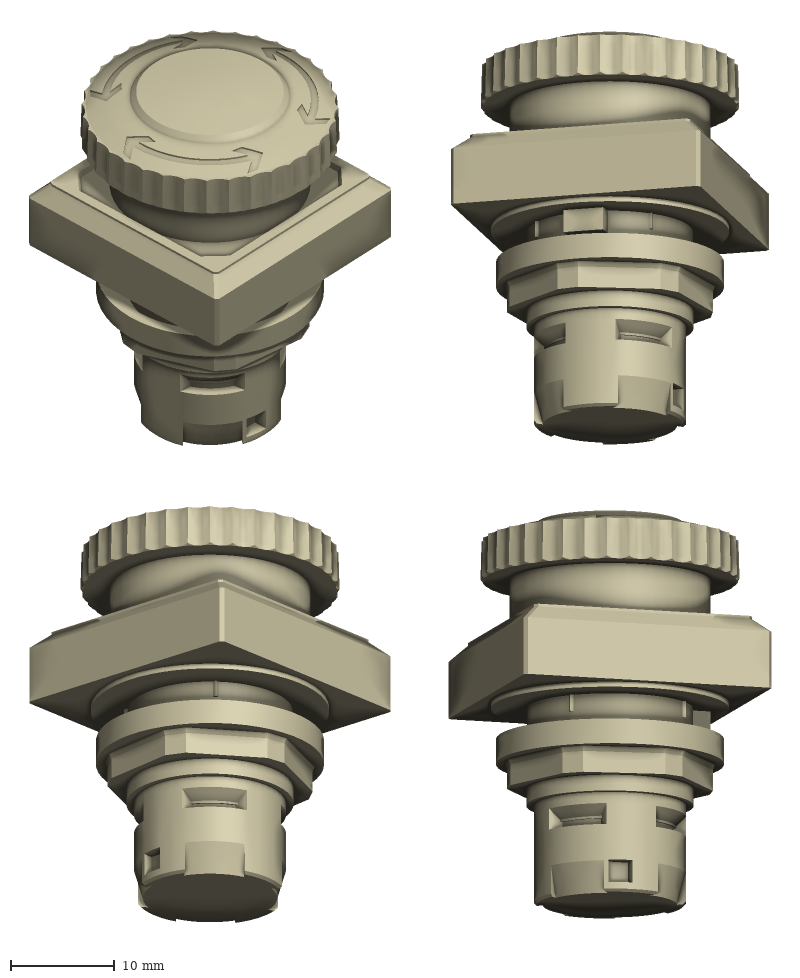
import cadquery as cq
import math

total_height = 37.88
crown_edge_z = 37.4
crown_base_z = 36.82
grip_top_z = 35.72
grip_bottom_z = 31.75
crown_edge_radius = 7.12
crown_base_radius = 15.5 / 2
shoulder_radius = 11.97
shoulder_bulge = 0.1
grip_top_radius = 12.4
grip_radius = 12.5
grip_bottom_chamfer = 0.23
flute_count = 36
flute_depth = 0.25
first_ridge_angle = 1.3

arrow_count = 3
arrow_mid_angle = 61.5
arrow_half_span = 42.2
arrow_radius = 10.0
arrow_half_width = 0.38
arrow_head_reach = 1.5
arrow_barb_length = 1.17
arrow_depth = 0.2

neck_diameter = 19.4
bezel_size = 25.0
bezel_top_size = 22.0
bezel_top_z = 27.0
bezel_lip_z = 26.75
bezel_shoulder_z = 25.35
bezel_bottom_z = 19.77
bezel_corner_chamfer = 0.35
recess_size = 20.0
recess_corner_chamfer = 2.05
recess_depth = 0.55
recess_wall_inset = 0.23

seat_diameter = 23.0
seat_bottom_z = 19.28
body_diameter = 16.0
washer_diameter = 22.0
washer_top_z = 16.25
washer_bottom_z = 13.83
washer_recess_diameter = 19.77
washer_recess_depth = 2.15
collar_diameter = 16.15
collar_bottom_z = 9.75
barrel_diameter = 14.7
barrel_bottom_chamfer = 0.25

post_reach = 5.87
post_width = 0.38
post_bottom_z = 17.7
key_reach = 9.5
key_width = 3.98
key_top_z = 19.15
key_bottom_z = 16.97

nut_corner_diameter = 19.85
nut_corner_half_angle = 6.2
nut_bottom_z = 11.3
nut_flare_z = 13.35
nut_flare = 0.2
nut_first_corner_angle = 21.4

quadrant_count = 4
window_bottom_z = 6.6
window_floor_top_z = 7.35
window_step_top_z = 7.58
window_outer_top_z = 8.65
window_floor_radius = 6.25
window_step_radius = 6.45
window_inner_width = 4.2
window_outer_width = 6.25
relief_top_z = 3.03
relief_depth = 0.87
relief_width = 5.75
socket_width = 2.3
socket_depth = 1.45
socket_bottom_z = 0.9
socket_top_z = 3.1

cut_margin = 0.75


def cylinder(diameter, bottom_z, top_z):
    return cq.Workplane("XY").workplane(offset=bottom_z).circle(diameter / 2).extrude(top_z - bottom_z)


def box(x_range, y_range, z_range):
    """Box between the given limits along each axis."""
    (x0, x1), (y0, y1), (z0, z1) = x_range, y_range, z_range
    return cq.Workplane("XY").box(x1 - x0, y1 - y0, z1 - z0, centered=False).translate((x0, y0, z0))


def revolve_z(profile):
    """Revolve an outline drawn as (radius, z) about the Z axis."""
    return profile.close().revolve(360, (0, 0, 0), (0, 1, 0))


def turned(shape, angle):
    return shape.rotate((0, 0, 0), (0, 0, 1), angle)


def chamfered_square(size, chamfer, z):
    """Square wire with its four corners cut at 45 degrees."""
    half = size / 2
    inner = half - chamfer
    points = [
        (half, -inner), (half, inner), (inner, half), (-inner, half),
        (-half, inner), (-half, -inner), (-inner, -half), (inner, -half),
    ]
    return cq.Workplane("XY").workplane(offset=z).polyline(points).close()


def loft_squares(lower, upper):
    """Solid between two chamfered squares, each given as (size, chamfer, z)."""
    wires = [chamfered_square(*square).wire().val() for square in (lower, upper)]
    return cq.Workplane(cq.Solid.makeLoft(wires, True))


def shoulder_outline(drop):
    """Cap outline up to the crown, lowered by drop, starting on the axis."""
    mid_radius = (shoulder_radius + crown_base_radius) / 2
    mid_z = (grip_top_z + crown_base_z) / 2 + shoulder_bulge
    return (
        cq.Workplane("XZ")
        .moveTo(0, grip_bottom_z)
        .lineTo(grip_radius - grip_bottom_chamfer, grip_bottom_z)
        .lineTo(grip_radius, grip_bottom_z + grip_bottom_chamfer)
        .lineTo(grip_radius, grip_top_z - drop)
        .lineTo(shoulder_radius, grip_top_z - drop)
        .threePointArc((mid_radius, mid_z - drop), (crown_base_radius, crown_base_z - drop))
    )


def make_cap():
    """Turned cap with a shallow spherical crown, trimmed to the fluted grip."""
    crown_drop = total_height - crown_edge_z
    dome_radius = (crown_edge_radius**2 + crown_drop**2) / (2 * crown_drop)
    half_radius = crown_edge_radius / 2
    dome_mid_z = total_height - dome_radius + math.sqrt(dome_radius**2 - half_radius**2)
    cap = revolve_z(
        shoulder_outline(0)
        .lineTo(crown_edge_radius, crown_edge_z)
        .threePointArc((half_radius, dome_mid_z), (0, total_height))
    )
    return cap.intersect(grip_envelope())


def scalloped_circle(ridge_radius, z):
    """Ring of concave arcs that meet in sharp ridges at ridge_radius."""
    half_pitch = math.pi / flute_count
    flute_floor = ridge_radius * math.cos(half_pitch) - flute_depth
    start = math.radians(first_ridge_angle)

    def polar(radius, step):
        angle = start + step * half_pitch
        return (radius * math.cos(angle), radius * math.sin(angle))

    outline = cq.Workplane("XY").workplane(offset=z).moveTo(*polar(ridge_radius, 0))
    for index in range(flute_count):
        outline = outline.threePointArc(
            polar(flute_floor, 2 * index + 1),
            polar(ridge_radius, 2 * index + 2),
        )
    return outline.close()


def grip_envelope():
    """Fluted, slightly tapered grip carrying a plain block for the shoulder and crown."""
    lower = scalloped_circle(grip_radius, grip_bottom_z).wire().val()
    upper = scalloped_circle(grip_top_radius, grip_top_z).wire().val()
    grip = cq.Workplane(cq.Solid.makeLoft([lower, upper], True))
    return grip.union(cylinder(2 * shoulder_radius, grip_bottom_z, total_height))


def arrow_prism():
    """Double-headed arrow bent around Z, centred on the +X axis."""
    span = math.radians(arrow_half_span)
    shaft_back = arrow_head_reach
    barb_back = arrow_head_reach + arrow_barb_length

    def head_point(back, out, side):
        """Point behind the arrow tip by back and outward from it by out."""
        radius = arrow_radius + out
        x = radius * math.cos(span) + back * math.sin(span)
        y = radius * math.sin(span) - back * math.cos(span)
        return (x, side * y)

    outer = arrow_half_width
    reach = arrow_head_reach
    outer_mid = math.hypot(*head_point(shaft_back, outer, 1))
    inner_mid = math.hypot(*head_point(shaft_back, -outer, 1))
    return (
        cq.Workplane("XY")
        .workplane(offset=grip_bottom_z)
        .moveTo(*head_point(shaft_back, outer, -1))
        .threePointArc((outer_mid, 0), head_point(shaft_back, outer, 1))
        .lineTo(*head_point(barb_back, reach, 1))
        .lineTo(*head_point(reach, reach, 1))
        .lineTo(*head_point(0, 0, 1))
        .lineTo(*head_point(reach, -reach, 1))
        .lineTo(*head_point(barb_back, -reach, 1))
        .lineTo(*head_point(shaft_back, -outer, 1))
        .threePointArc((inner_mid, 0), head_point(shaft_back, -outer, -1))
        .lineTo(*head_point(barb_back, -reach, -1))
        .lineTo(*head_point(reach, -reach, -1))
        .lineTo(*head_point(0, 0, -1))
        .lineTo(*head_point(reach, reach, -1))
        .lineTo(*head_point(barb_back, reach, -1))
        .close()
        .extrude(total_height - grip_bottom_z)
    )


def engrave_arrows(cap):
    """Sink the arrows to a constant depth below the shoulder."""
    lowered_cap = revolve_z(shoulder_outline(arrow_depth).lineTo(0, crown_base_z - arrow_depth))
    cutter = arrow_prism().cut(lowered_cap)
    for index in range(arrow_count):
        cap = cap.cut(turned(cutter, arrow_mid_angle + index * 360 / arrow_count))
    return cap


def make_bezel():
    """Square frame with sloped upper edges and an octagonal recess around the neck."""
    corner = bezel_corner_chamfer
    base = chamfered_square(bezel_size, corner, bezel_bottom_z).extrude(bezel_shoulder_z - bezel_bottom_z)
    slope = loft_squares((bezel_size, corner, bezel_shoulder_z), (bezel_top_size, corner, bezel_lip_z))
    lip = chamfered_square(bezel_top_size, corner, bezel_lip_z).extrude(bezel_top_z - bezel_lip_z)
    recess = loft_squares(
        (recess_size - 2 * recess_wall_inset, recess_corner_chamfer, bezel_top_z - recess_depth),
        (recess_size, recess_corner_chamfer, bezel_top_z),
    )
    return base.union(slope).union(lip).cut(recess)


def make_nut():
    """Hexagon with its corners cut flat, flared where it meets the washer."""
    corner_radius = nut_corner_diameter / 2
    points = []
    for side in range(6):
        for offset in (-nut_corner_half_angle, nut_corner_half_angle):
            angle = math.radians(nut_first_corner_angle + side * 60 + offset)
            points.append((corner_radius * math.cos(angle), corner_radius * math.sin(angle)))
    flare_height = washer_bottom_z - nut_flare_z
    flare_taper = math.degrees(math.atan(nut_flare / flare_height))
    nut = (
        cq.Workplane("XY")
        .workplane(offset=nut_bottom_z)
        .polyline(points)
        .close()
        .extrude(nut_flare_z - nut_bottom_z)
    )
    flare = (
        cq.Workplane("XY")
        .workplane(offset=nut_flare_z)
        .polyline(points)
        .close()
        .extrude(flare_height, taper=-flare_taper)
    )
    return nut.union(flare)


def make_washer():
    recess = cylinder(washer_recess_diameter, washer_top_z - washer_recess_depth, washer_top_z)
    return cylinder(washer_diameter, washer_bottom_z, washer_top_z).cut(recess)


def make_body():
    """Cylinder with a square post on each diagonal and one key towards +Y."""
    body = cylinder(body_diameter, washer_bottom_z, seat_bottom_z)
    post_range = (post_reach - post_width, post_reach)
    post = box(post_range, post_range, (post_bottom_z, seat_bottom_z))
    for index in range(quadrant_count):
        body = body.union(turned(post, index * 360 / quadrant_count))
    key = box((-key_width / 2, key_width / 2), (0, key_reach), (key_bottom_z, key_top_z))
    return body.union(key)


def window_cutter():
    """Window on the +X side that narrows inward on three sides to a curved floor."""
    barrel_radius = barrel_diameter / 2
    outer_radius = barrel_radius + cut_margin
    roof_slope = (window_outer_top_z - window_step_top_z) / (barrel_radius - window_step_radius)
    ring = revolve_z(
        cq.Workplane("XZ")
        .moveTo(window_floor_radius, window_bottom_z)
        .lineTo(outer_radius, window_bottom_z)
        .lineTo(outer_radius, window_outer_top_z + roof_slope * cut_margin)
        .lineTo(window_step_radius, window_step_top_z)
        .lineTo(window_step_radius, window_floor_top_z)
        .lineTo(window_floor_radius, window_floor_top_z)
    )
    inner_half = window_inner_width / 2
    outer_half = window_outer_width / 2
    inner_x = math.sqrt(window_floor_radius**2 - inner_half**2)
    outer_x = math.sqrt(barrel_radius**2 - outer_half**2)
    spread = (outer_half - inner_half) / (outer_x - inner_x)
    far_half = inner_half + spread * (outer_radius - inner_x)
    plan = (
        cq.Workplane("XY")
        .polyline([
            (0, -inner_half), (inner_x, -inner_half), (outer_radius, -far_half),
            (outer_radius, far_half), (inner_x, inner_half), (0, inner_half),
        ])
        .close()
        .extrude(total_height)
    )
    return ring.intersect(plan)


def relief_cutter():
    """Relief on the +X side of the rim, sloping inward towards the bottom."""
    barrel_radius = barrel_diameter / 2
    outer_radius = barrel_radius + cut_margin
    ring = revolve_z(
        cq.Workplane("XZ")
        .moveTo(barrel_radius - relief_depth, 0)
        .lineTo(outer_radius, 0)
        .lineTo(outer_radius, relief_top_z)
        .lineTo(barrel_radius, relief_top_z)
    )
    half_width = relief_width / 2
    return ring.intersect(box((0, outer_radius), (-half_width, half_width), (0, relief_top_z)))


def make_barrel():
    """Barrel with a window and a relief on each diagonal and two opposite sockets."""
    barrel = cylinder(barrel_diameter, 0, collar_bottom_z).faces("<Z").chamfer(barrel_bottom_chamfer)
    quadrant_cutter = window_cutter().union(relief_cutter())
    for index in range(quadrant_count):
        angle = (index + 0.5) * 360 / quadrant_count
        barrel = barrel.cut(turned(quadrant_cutter, angle))
    barrel_radius = barrel_diameter / 2
    socket = box(
        (barrel_radius - socket_depth, barrel_radius + cut_margin),
        (-socket_width, 0),
        (socket_bottom_z, socket_top_z),
    )
    return barrel.cut(socket).cut(turned(socket, 180))


cap = engrave_arrows(make_cap())
neck = cylinder(neck_diameter, bezel_top_z - recess_depth, grip_bottom_z)
seat = cylinder(seat_diameter, seat_bottom_z, bezel_bottom_z)
collar = cylinder(collar_diameter, collar_bottom_z, nut_bottom_z)

result = make_barrel()
for piece in (collar, make_nut(), make_washer(), make_body(), seat, make_bezel(), neck, cap):
    result = result.union(piece)